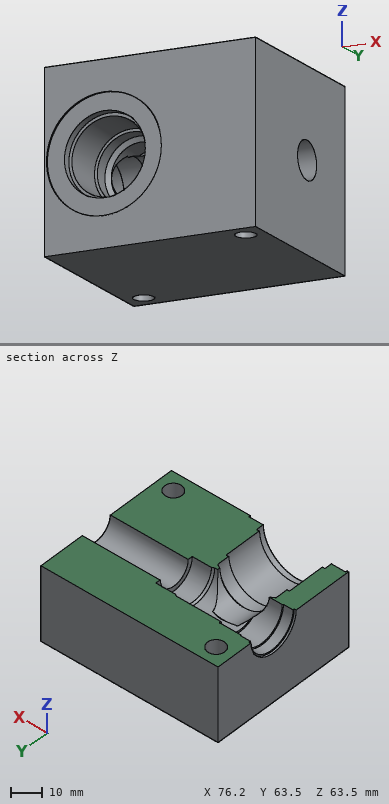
import cadquery as cq
import math

LENGTH = 76.2
WIDTH = 63.5
HEIGHT = 63.5
MID_HEIGHT = HEIGHT / 2

MOUNT_DIAMETER = 7.2
MOUNT_INSET = 7.2

CAVITY_Y = 36.5
CAVITY_SPOTFACE_DIAMETER = 21.8
CAVITY_SPOTFACE_DEPTH = 0.85
SEAL_DIAMETER = 20.65
SEAL_DEPTH = 4.95
CAVITY_THREAD_DIAMETER = 20.0
CAVITY_THREAD_START = 5.2
CAVITY_THREAD_DEPTH = 14.3
UPPER_BORE_DIAMETER = 18.5
UPPER_BORE_DEPTH = 33.5
LOWER_BORE_DIAMETER = 17.45
LOWER_BORE_DEPTH = 42.7
LEAD_IN_ANGLE = 30.0
THROUGH_DIAMETER = 13.5

PORT_X = 21.5
PORT_SPOTFACE_DIAMETER = 41.45
PORT_SPOTFACE_DEPTH = 0.7
PORT_SEAL_DIAMETER = 29.2
PORT_SEAL_DEPTH = 3.8
PORT_THREAD_DIAMETER = 27.0
PORT_THREAD_DEPTH = 19.8
TAP_DRILL_DIAMETER = 24.9
TAP_DRILL_DEPTH = 25.15
PORT_BORE_DIAMETER = 21.4
PORT_BORE_DEPTH = 35.65
DRILL_TIP_ANGLE = 118.0


def cone_length(start_diameter, end_diameter, half_angle):
    """Axial length of a cone between two diameters."""
    return (start_diameter - end_diameter) / 2 / math.tan(math.radians(half_angle))


def stepped_bore(steps):
    """Solid of revolution about Z, for a bore that goes down from Z = 0.

    Each step is (depth, diameter); consecutive steps are joined by straight walls.
    """
    end_depth = steps[-1][0]
    outline = [(0, 0)]
    outline += [(diameter / 2, -depth) for depth, diameter in steps]
    if steps[-1][1] > 0:
        outline.append((0, -end_depth))
    return cq.Workplane("XZ").polyline(outline).close().revolve(360, (0, 0), (0, 1))


def cartridge_cavity():
    lead_in = cone_length(UPPER_BORE_DIAMETER, LOWER_BORE_DIAMETER, LEAD_IN_ANGLE)
    bore = stepped_bore([
        (0, CAVITY_SPOTFACE_DIAMETER),
        (CAVITY_SPOTFACE_DEPTH, CAVITY_SPOTFACE_DIAMETER),
        (CAVITY_SPOTFACE_DEPTH, SEAL_DIAMETER),
        (SEAL_DEPTH, SEAL_DIAMETER),
        (CAVITY_THREAD_START, CAVITY_THREAD_DIAMETER),
        (CAVITY_THREAD_DEPTH, CAVITY_THREAD_DIAMETER),
        (CAVITY_THREAD_DEPTH, UPPER_BORE_DIAMETER),
        (UPPER_BORE_DEPTH, UPPER_BORE_DIAMETER),
        (UPPER_BORE_DEPTH + lead_in, LOWER_BORE_DIAMETER),
        (LOWER_BORE_DEPTH, LOWER_BORE_DIAMETER),
        (LOWER_BORE_DEPTH, THROUGH_DIAMETER),
        (LENGTH, THROUGH_DIAMETER),
    ])
    return bore.rotate((0, 0, 0), (0, 1, 0), -90).translate((0, CAVITY_Y, MID_HEIGHT))


def side_port():
    half_tip = DRILL_TIP_ANGLE / 2
    tap_cone = cone_length(TAP_DRILL_DIAMETER, PORT_BORE_DIAMETER, half_tip)
    bore_tip = cone_length(PORT_BORE_DIAMETER, 0, half_tip)
    bore = stepped_bore([
        (0, PORT_SPOTFACE_DIAMETER),
        (PORT_SPOTFACE_DEPTH, PORT_SPOTFACE_DIAMETER),
        (PORT_SPOTFACE_DEPTH, PORT_SEAL_DIAMETER),
        (PORT_SEAL_DEPTH, PORT_SEAL_DIAMETER),
        (PORT_SEAL_DEPTH, PORT_THREAD_DIAMETER),
        (PORT_THREAD_DEPTH, PORT_THREAD_DIAMETER),
        (PORT_THREAD_DEPTH, TAP_DRILL_DIAMETER),
        (TAP_DRILL_DEPTH, TAP_DRILL_DIAMETER),
        (TAP_DRILL_DEPTH + tap_cone, PORT_BORE_DIAMETER),
        (PORT_BORE_DEPTH, PORT_BORE_DIAMETER),
        (PORT_BORE_DEPTH + bore_tip, 0),
    ])
    return bore.rotate((0, 0, 0), (1, 0, 0), 90).translate((PORT_X, 0, MID_HEIGHT))


def mounting_holes():
    centers = [
        (MOUNT_INSET, WIDTH - MOUNT_INSET),
        (LENGTH - MOUNT_INSET, MOUNT_INSET),
    ]
    return cq.Workplane("XY").pushPoints(centers).circle(MOUNT_DIAMETER / 2).extrude(HEIGHT)


block = cq.Workplane("XY").box(LENGTH, WIDTH, HEIGHT, centered=False)
result = block.cut(cartridge_cavity()).cut(side_port()).cut(mounting_holes())